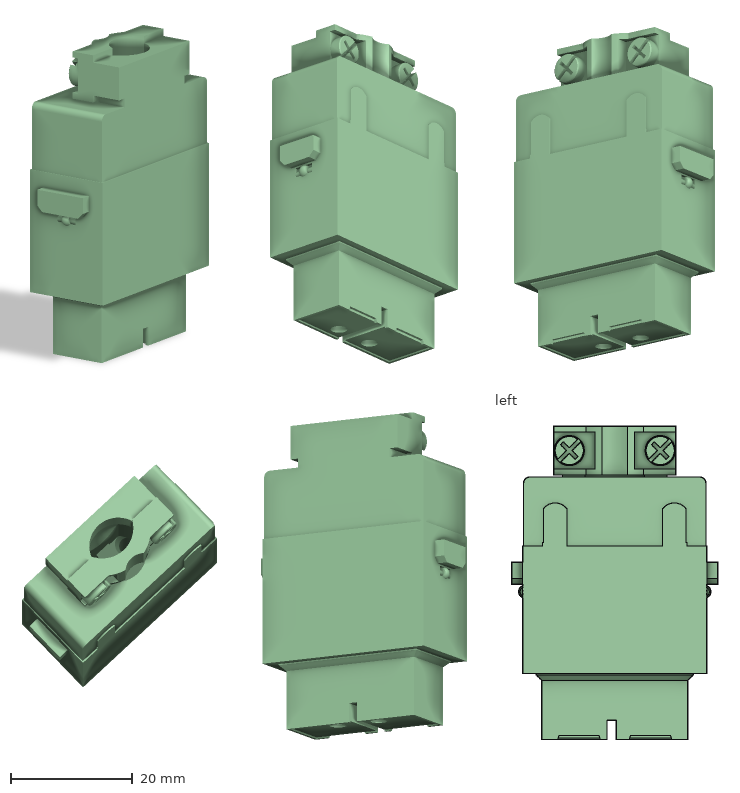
import cadquery as cq


total_height = 51.5
collar_tip_z = 9.75
body_bottom_z = 10.85
body_top_z = 31.8
hood_top_z = 43.15

body_length_x = 14.6
body_width_y = 30.3
hood_length_x = 14.05
hood_width_y = 29.95
hood_edge_radius = 1.05

skirt_length_x = 9.8
skirt_width_y = 24.0
collar_overhang = 0.95
collar_rim_height = 0.2
key_slot_width = 1.5
key_slot_height = 3.2
key_slot_y = 0.5
notch_inner_y = 2.6
notch_outer_y = 9.15
notch_flare = 0.2
notch_height = 0.65
skirt_lip_thickness = 0.5
underside_recess_depth = 0.25

tongue_y = 9.8
tongue_half_width = 1.9
tongue_shoulder_z = 37.95
tongue_tip_z = 38.9
tongue_step_width = 0.15
tongue_step_height = 0.6

ear_span_y = 33.85
ear_reach = (ear_span_y - body_width_y) / 2
ear_bottom_z = 25.5
ear_top_z = 29.15
ear_chamfer = 1.0
minus_y_ear_length = 9.15
plus_y_ear_length = 7.2
latch_window_length = 3.6
latch_window_bottom_z = 23.65
latch_window_top_z = 25.25
latch_rod_radius = 0.55
latch_rod_z = latch_window_bottom_z + latch_rod_radius
latch_ball_z = 24.3
latch_ball_radius = 1.05
latch_ball_protrusion = 0.65
latch_ball_length = 1.4

clamp_width_y = 20.1
clamp_front_x = -2.35
clamp_split_x = 1.75
clamp_back_x = hood_length_x / 2
clamp_front_bottom_z = 43.45
clamp_back_bottom_z = 44.65
clamp_back_top_z = 50.25
clamp_foot_front_x = 1.85
clamp_foot_width_y = 17.2
bulge_foot_y = 4.7
bulge_mid_x = -3.15
bulge_mid_y = 3.4
bulge_tip_x = -3.6
bulge_tip_y = 2.05
bulge_groove_x = -2.85
bore_half_width_y = 4.55
bore_front_x = -1.0
bore_back_x = 5.05

clamp_mid_z = (total_height + clamp_front_bottom_z) / 2
recess_floor_x = -1.25
recess_height = 6.0
recess_inner_y = 3.25
screw_y = 7.45
screw_radius = 2.45
screw_front_x = -3.3
screw_rim_chamfer = 0.15
drive_slot_width = 0.65
drive_slot_depth = 1.15
drive_short_length = 3.4
drive_angle = 45

entry_x = 0.75
entry_radius = 5.0
entry_floor_z = body_top_z
ramp_end_radius = 3.35
ramp_height = 4.1
bridge_front_x = -3.85
bridge_back_x = 4.1
bridge_width_y = 2.8
bridge_height = 1.55
passage_x = 2.1
passage_y = 3.8
passage_radius = 1.4
passage_mouth_radius = 2.05
passage_mouth_depth = 1.55


def block(x_range, y_range, z_range):
    """Axis-aligned box given by its lower and upper limits on each axis."""
    lower, upper = zip(x_range, y_range, z_range)
    size = [high - low for low, high in zip(lower, upper)]
    return cq.Workplane("XY").box(*size, centered=False).translate(lower)


def centred_block(length_x, width_y, bottom_z, top_z):
    """Box centred on the Z axis between two heights."""
    return block((-length_x / 2, length_x / 2), (-width_y / 2, width_y / 2), (bottom_z, top_z))


def disc(x, y, radius, bottom_z, top_z):
    """Vertical cylinder between two heights."""
    return cq.Workplane("XY", origin=(x, y, bottom_z)).circle(radius).extrude(top_z - bottom_z)


def taper(x, y, bottom_radius, top_radius, bottom_z, top_z):
    """Vertical cone frustum between two heights."""
    return cq.Workplane(
        cq.Solid.makeCone(bottom_radius, top_radius, top_z - bottom_z, cq.Vector(x, y, bottom_z))
    )


def make_skirt():
    skirt = centred_block(skirt_length_x, skirt_width_y, 0, body_bottom_z)

    rim_bottom_z = body_bottom_z - collar_rim_height
    rim_length_x = skirt_length_x + 2 * collar_overhang
    rim_width_y = skirt_width_y + 2 * collar_overhang
    rim = centred_block(rim_length_x, rim_width_y, rim_bottom_z, body_bottom_z)
    collar = (
        cq.Workplane("XY", origin=(0, 0, collar_tip_z))
        .rect(skirt_length_x, skirt_width_y)
        .workplane(offset=rim_bottom_z - collar_tip_z)
        .rect(rim_length_x, rim_width_y)
        .loft(ruled=True)
    )
    skirt = skirt.union(collar).union(rim)

    underside_recess = centred_block(
        skirt_length_x - 2 * skirt_lip_thickness,
        skirt_width_y - 2 * skirt_lip_thickness,
        0,
        underside_recess_depth,
    )
    skirt = skirt.cut(underside_recess)

    key_slot = centred_block(skirt_length_x, key_slot_width, 0, key_slot_height)
    skirt = skirt.cut(key_slot.translate((0, key_slot_y, 0)))

    notch = (
        cq.Workplane("YZ", origin=(-skirt_length_x / 2, 0, 0))
        .polyline([
            (notch_inner_y - notch_flare, 0),
            (notch_inner_y, notch_height),
            (notch_outer_y, notch_height),
            (notch_outer_y + notch_flare, 0),
        ])
        .close()
        .extrude(skirt_lip_thickness)
    )
    return skirt.cut(notch).cut(notch.mirror("XZ"))


def make_hood():
    hood = centred_block(hood_length_x, hood_width_y, body_top_z, hood_top_z)
    return hood.edges("|X and >Z").fillet(hood_edge_radius)


def make_tongue():
    """Round-topped tongue at +Y, flush with the -X face of the body."""
    inner_y = tongue_y - tongue_half_width
    outer_y = tongue_y + tongue_half_width
    step_z = body_top_z + tongue_step_height
    return (
        cq.Workplane("YZ", origin=(-body_length_x / 2, 0, 0))
        .moveTo(inner_y, body_top_z)
        .lineTo(inner_y, tongue_shoulder_z)
        .threePointArc((tongue_y, tongue_tip_z), (outer_y, tongue_shoulder_z))
        .lineTo(outer_y, step_z)
        .lineTo(outer_y + tongue_step_width, step_z)
        .lineTo(outer_y + tongue_step_width, body_top_z)
        .close()
        .extrude((body_length_x - hood_length_x) / 2)
    )


def make_ear(length_x):
    """Ear on the -Y end of the body with its two lower corners cut off."""
    body_end_y = -body_width_y / 2
    ear = block(
        (-length_x / 2, length_x / 2), (body_end_y - ear_reach, body_end_y), (ear_bottom_z, ear_top_z)
    )
    return ear.faces("<Z").edges("|Y").chamfer(ear_chamfer)


def add_latch(body):
    """Window in the -Y end holding a rod with a slice of a ball at its middle."""
    end_y = -body_width_y / 2
    half_length = latch_window_length / 2
    floor_y = end_y + latch_rod_radius
    window = block(
        (-half_length, half_length), (end_y, floor_y), (latch_window_bottom_z, latch_window_top_z)
    )
    rod = (
        cq.Workplane("YZ", origin=(-half_length, floor_y, latch_rod_z))
        .circle(latch_rod_radius)
        .extrude(latch_window_length)
    )
    ball_y = end_y - latch_ball_protrusion + latch_ball_radius
    ball = cq.Workplane("XY").sphere(latch_ball_radius)
    slice_size = 2 * latch_ball_radius
    ball_slice = ball.intersect(cq.Workplane("XY").box(latch_ball_length, slice_size, slice_size))
    return body.cut(window).union(rod).union(ball_slice.translate((0, ball_y, latch_ball_z)))


def make_body():
    body = centred_block(body_length_x, body_width_y, body_bottom_z, body_top_z)
    body = add_latch(body)
    body = add_latch(body.mirror("XZ"))
    body = body.union(make_ear(minus_y_ear_length))
    return body.union(make_ear(plus_y_ear_length).mirror("XZ"))


def make_screw():
    """Cross-slotted screw head facing -X, with its axis on the X axis."""
    head = (
        cq.Workplane("YZ", origin=(screw_front_x, 0, 0))
        .circle(screw_radius)
        .extrude(recess_floor_x - screw_front_x)
        .faces("<X")
        .chamfer(screw_rim_chamfer)
    )
    slot_x = (screw_front_x, screw_front_x + drive_slot_depth)
    slot_half_width = (-drive_slot_width / 2, drive_slot_width / 2)
    long_slot = block(slot_x, (-screw_radius, screw_radius), slot_half_width)
    short_slot = block(slot_x, slot_half_width, (-drive_short_length / 2, drive_short_length / 2))
    drive = long_slot.union(short_slot).rotate((0, 0, 0), (1, 0, 0), -drive_angle)
    return head.cut(drive)


def make_clamp_front():
    half_width = clamp_width_y / 2
    height = total_height - clamp_front_bottom_z
    front = (
        cq.Workplane("XY", origin=(0, 0, clamp_front_bottom_z))
        .moveTo(clamp_split_x, half_width)
        .lineTo(clamp_front_x, half_width)
        .lineTo(clamp_front_x, bulge_foot_y)
        .threePointArc((bulge_mid_x, bulge_mid_y), (bulge_tip_x, bulge_tip_y))
        .threePointArc((bulge_groove_x, 0), (bulge_tip_x, -bulge_tip_y))
        .threePointArc((bulge_mid_x, -bulge_mid_y), (clamp_front_x, -bulge_foot_y))
        .lineTo(clamp_front_x, -half_width)
        .lineTo(clamp_split_x, -half_width)
        .lineTo(clamp_split_x, -bore_half_width_y)
        .threePointArc((bore_front_x, 0), (clamp_split_x, bore_half_width_y))
        .close()
        .extrude(height)
    )
    recess = block(
        (bulge_tip_x, recess_floor_x),
        (recess_inner_y, half_width),
        (clamp_mid_z - recess_height / 2, clamp_mid_z + recess_height / 2),
    )
    front = front.cut(recess).cut(recess.mirror("XZ"))
    for y in (screw_y, -screw_y):
        front = front.union(make_screw().translate((0, y, clamp_mid_z)))
    return front


def make_clamp_back():
    half_width = clamp_width_y / 2
    back = (
        cq.Workplane("XY", origin=(0, 0, clamp_back_bottom_z))
        .moveTo(clamp_split_x, half_width)
        .lineTo(clamp_back_x, half_width)
        .lineTo(clamp_back_x, -half_width)
        .lineTo(clamp_split_x, -half_width)
        .lineTo(clamp_split_x, -bore_half_width_y)
        .threePointArc((bore_back_x, 0), (clamp_split_x, bore_half_width_y))
        .close()
        .extrude(clamp_back_top_z - clamp_back_bottom_z)
    )
    foot = block(
        (clamp_foot_front_x, clamp_back_x),
        (-clamp_foot_width_y / 2, clamp_foot_width_y / 2),
        (hood_top_z, clamp_back_bottom_z),
    )
    return back.union(foot.cut(disc(entry_x, 0, entry_radius, hood_top_z, clamp_back_bottom_z)))


def make_cable_entry():
    """Space removed from the hood: round, with a bridge on its floor and a ramp at the +X side."""
    entry = disc(entry_x, 0, entry_radius, entry_floor_z, hood_top_z)
    bridge = block(
        (bridge_front_x, bridge_back_x),
        (-bridge_width_y / 2, bridge_width_y / 2),
        (entry_floor_z, entry_floor_z + bridge_height),
    )
    ramp_side = block(
        (bridge_back_x, entry_x + entry_radius), (-entry_radius, entry_radius), (entry_floor_z, hood_top_z)
    )
    ramp = taper(entry_x, 0, ramp_end_radius, entry_radius, hood_top_z - ramp_height, hood_top_z)
    return entry.cut(bridge).cut(ramp_side.cut(ramp))


def make_passage(y):
    """Wire passage with a funnel mouth, running from the entry floor to the underside."""
    mouth_bottom_z = entry_floor_z - passage_mouth_depth
    mouth = taper(passage_x, y, passage_radius, passage_mouth_radius, mouth_bottom_z, entry_floor_z)
    return disc(passage_x, y, passage_radius, 0, mouth_bottom_z).union(mouth)


housing = make_skirt().union(make_body()).union(make_hood())
housing = housing.union(make_tongue()).union(make_tongue().mirror("XZ"))
housing = housing.cut(make_cable_entry())
for side in (1, -1):
    housing = housing.cut(make_passage(side * passage_y))

result = housing.union(make_clamp_back()).union(make_clamp_front())